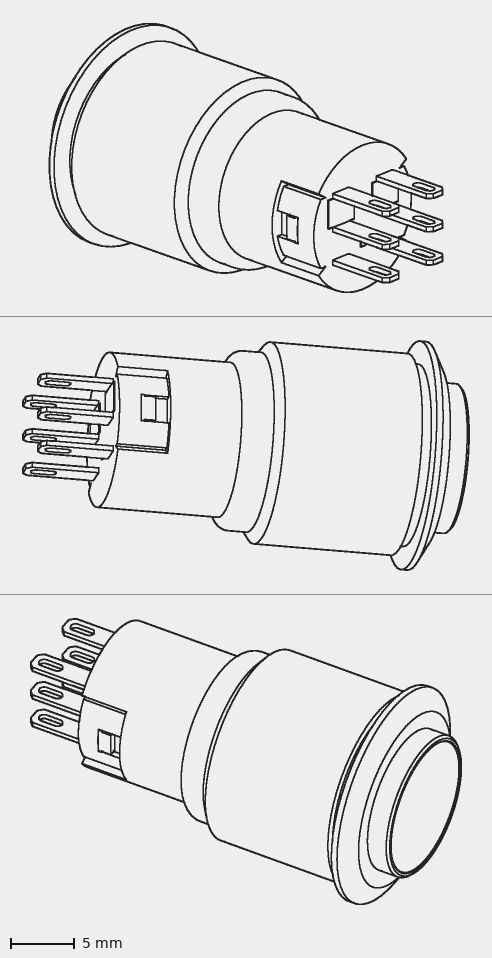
import cadquery as cq
import math

TOTAL_LENGTH = 33.9

CAP_DIAMETER = 11.8
CAP_CHAMFER = 0.2
DISH_RIM_RADIUS = 5.5
DISH_RADIUS = 5.42
DISH_RIM_DEPTH = 0.07
DISH_DEPTH = 0.68

BEZEL_FRONT_X = 1.9
BEZEL_FRONT_DIAMETER = 14.6
BEZEL_DIAMETER = 18.0
BEZEL_CONE_END_X = 2.88
BEZEL_BACK_X = 3.4
NECK_DIAMETER = 14.37
BODY_FRONT_X = 4.3
BODY_DIAMETER = 15.9
BODY_BACK_X = 15.35
SHOULDER_FRONT_X = 16.05
SHOULDER_DIAMETER = 14.17
SHOULDER_BACK_X = 18.4
SHOULDER_FILLET = 0.9

HOUSING_DIAMETER = 12.2
HOUSING_BACK_X = 28.15
NOTCH_FRONT_X = 24.15
NOTCH_FLOOR_RADIUS = 5.6
NOTCH_FLOOR_HALF_HEIGHT = 2.9
NOTCH_OUTER_HALF_HEIGHT = 3.45
CUT_CLEARANCE = 0.35

WINDOW_HALF_HEIGHT = 1.1
WINDOW_BACK_X = 26.37
WINDOW_DEPTH = 0.6
TAB_FRONT_X = 25.22
TAB_SLIT_BACK_X = 26.07
TAB_SLIT_WIDTH = 0.1
TAB_FACE_Y = 5.55

TERMINAL_Y = 2.5
TERMINAL_Z = 2.8
TERMINAL_WIDTH = 1.85
TERMINAL_THICKNESS = 0.4
TERMINAL_CHAMFER = 0.4
TERMINAL_EMBED = 0.68
EYE_LENGTH = 2.05
EYE_WIDTH = 0.8
EYE_TIP_DISTANCE = 0.5

PAD_HEIGHT = 0.1
UPPER_PAD_WIDTH = 2.9
UPPER_PAD_BOTTOM_Z = TERMINAL_THICKNESS / 2
UPPER_PAD_TOP_Z = TERMINAL_Z - TERMINAL_THICKNESS / 2
LOWER_PAD_WIDTH = 0.55
LOWER_PAD_BOTTOM_Z = -2.4
LOWER_PAD_TOP_Z = -1.45

SIDES = (1, -1)
ROWS = (-1, 0, 1)


def box(x_range, y_range, z_range):
    """Axis-aligned box spanning the three given ranges."""
    size = [abs(end - start) for start, end in (x_range, y_range, z_range)]
    corner = (min(x_range), min(y_range), min(z_range))
    return cq.Workplane("XY").box(*size, centered=False).translate(corner)


def turned_body():
    """Cap, bezel, threaded body and rear housing as one revolved profile."""
    cap_radius = CAP_DIAMETER / 2
    shoulder_radius = SHOULDER_DIAMETER / 2
    housing_radius = HOUSING_DIAMETER / 2

    sag = DISH_DEPTH - DISH_RIM_DEPTH
    sphere_radius = (DISH_RADIUS**2 + sag**2) / (2 * sag)
    middle_radius = DISH_RADIUS / 2
    middle_rise = sphere_radius - math.sqrt(sphere_radius**2 - middle_radius**2)

    fillet_start = (SHOULDER_BACK_X - SHOULDER_FILLET, shoulder_radius)
    fillet_leg = SHOULDER_FILLET * math.sqrt(0.5)
    fillet_middle = (
        SHOULDER_BACK_X - SHOULDER_FILLET + fillet_leg,
        shoulder_radius - SHOULDER_FILLET + fillet_leg,
    )
    fillet_end = (SHOULDER_BACK_X, shoulder_radius - SHOULDER_FILLET)

    profile = (
        cq.Workplane("XY")
        .moveTo(DISH_DEPTH, 0)
        .threePointArc((DISH_DEPTH - middle_rise, middle_radius), (DISH_RIM_DEPTH, DISH_RADIUS))
        .lineTo(0, DISH_RIM_RADIUS)
        .lineTo(0, cap_radius - CAP_CHAMFER)
        .lineTo(CAP_CHAMFER, cap_radius)
        .lineTo(BEZEL_FRONT_X, cap_radius)
        .lineTo(BEZEL_FRONT_X, BEZEL_FRONT_DIAMETER / 2)
        .lineTo(BEZEL_CONE_END_X, BEZEL_DIAMETER / 2)
        .lineTo(BEZEL_BACK_X, BEZEL_DIAMETER / 2)
        .lineTo(BEZEL_BACK_X, NECK_DIAMETER / 2)
        .lineTo(BODY_FRONT_X, NECK_DIAMETER / 2)
        .lineTo(BODY_FRONT_X, BODY_DIAMETER / 2)
        .lineTo(BODY_BACK_X, BODY_DIAMETER / 2)
        .lineTo(SHOULDER_FRONT_X, shoulder_radius)
        .lineTo(*fillet_start)
        .threePointArc(fillet_middle, fillet_end)
        .lineTo(SHOULDER_BACK_X, housing_radius)
        .lineTo(HOUSING_BACK_X, housing_radius)
        .lineTo(HOUSING_BACK_X, 0)
        .close()
    )
    return profile.revolve(360, (0, 0, 0), (1, 0, 0))


def side_notch(side):
    """Cutter for a notch with a round floor between two undercut radial walls."""
    floor_edge_y = math.sqrt(NOTCH_FLOOR_RADIUS**2 - NOTCH_FLOOR_HALF_HEIGHT**2)
    outer_edge_y = math.sqrt((HOUSING_DIAMETER / 2) ** 2 - NOTCH_OUTER_HALF_HEIGHT**2)
    wall_root_y = outer_edge_y * NOTCH_FLOOR_HALF_HEIGHT / NOTCH_OUTER_HALF_HEIGHT
    clear_y = HOUSING_DIAMETER / 2 + CUT_CLEARANCE
    return (
        cq.Workplane("YZ", origin=(NOTCH_FRONT_X, 0, 0))
        .moveTo(side * floor_edge_y, -NOTCH_FLOOR_HALF_HEIGHT)
        .threePointArc(
            (side * NOTCH_FLOOR_RADIUS, 0),
            (side * floor_edge_y, NOTCH_FLOOR_HALF_HEIGHT),
        )
        .lineTo(side * wall_root_y, NOTCH_FLOOR_HALF_HEIGHT)
        .lineTo(side * outer_edge_y, NOTCH_OUTER_HALF_HEIGHT)
        .lineTo(side * clear_y, NOTCH_OUTER_HALF_HEIGHT)
        .lineTo(side * clear_y, -NOTCH_OUTER_HALF_HEIGHT)
        .lineTo(side * outer_edge_y, -NOTCH_OUTER_HALF_HEIGHT)
        .lineTo(side * wall_root_y, -NOTCH_FLOOR_HALF_HEIGHT)
        .close()
        .extrude(HOUSING_BACK_X - NOTCH_FRONT_X)
    )


def latch_window(side):
    """Cutter for the latch window in the notch floor."""
    return box(
        (NOTCH_FRONT_X, WINDOW_BACK_X),
        (side * (NOTCH_FLOOR_RADIUS - WINDOW_DEPTH), side * NOTCH_FLOOR_RADIUS),
        (-WINDOW_HALF_HEIGHT, WINDOW_HALF_HEIGHT),
    )


def latch_tab(side):
    """Flat tab in the window, with a narrow slit above and below its front part."""
    y_range = (side * (NOTCH_FLOOR_RADIUS - WINDOW_DEPTH), side * TAB_FACE_Y)
    front_half_height = WINDOW_HALF_HEIGHT - TAB_SLIT_WIDTH
    front = box((TAB_FRONT_X, WINDOW_BACK_X), y_range, (-front_half_height, front_half_height))
    root = box((TAB_SLIT_BACK_X, WINDOW_BACK_X), y_range, (-WINDOW_HALF_HEIGHT, WINDOW_HALF_HEIGHT))
    return front.union(root)


def terminal(y, z):
    """Flat solder terminal with a chamfered tip and a slotted eye."""
    start_x = HOUSING_BACK_X - TERMINAL_EMBED
    blade = box(
        (start_x, TOTAL_LENGTH),
        (y - TERMINAL_WIDTH / 2, y + TERMINAL_WIDTH / 2),
        (z - TERMINAL_THICKNESS / 2, z + TERMINAL_THICKNESS / 2),
    )
    blade = blade.edges("|Z and >X").chamfer(TERMINAL_CHAMFER)
    eye_x = TOTAL_LENGTH - EYE_TIP_DISTANCE - EYE_LENGTH / 2
    eye = (
        cq.Workplane("XY", origin=(eye_x, y, z))
        .slot2D(EYE_LENGTH, EYE_WIDTH)
        .extrude(TERMINAL_THICKNESS, both=True)
    )
    return blade.cut(eye)


def rear_pad(y, width, z_range):
    """Low rectangular pad on the rear face."""
    return box(
        (HOUSING_BACK_X, HOUSING_BACK_X + PAD_HEIGHT),
        (y - width / 2, y + width / 2),
        z_range,
    )


result = turned_body()

for side in SIDES:
    result = result.cut(side_notch(side))
    result = result.cut(latch_window(side))
    result = result.union(latch_tab(side))

for side in SIDES:
    for row in ROWS:
        result = result.union(terminal(side * TERMINAL_Y, row * TERMINAL_Z))
    upper_pad = rear_pad(side * TERMINAL_Y, UPPER_PAD_WIDTH, (UPPER_PAD_BOTTOM_Z, UPPER_PAD_TOP_Z))
    result = result.union(upper_pad)

result = result.union(rear_pad(0, LOWER_PAD_WIDTH, (LOWER_PAD_BOTTOM_Z, LOWER_PAD_TOP_Z)))